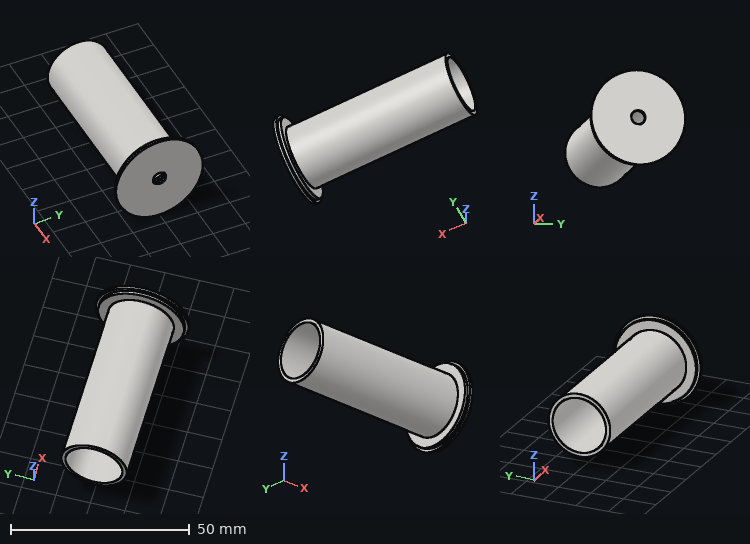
import cadquery as cq

total_length = 52.5
flange_thickness = 1.0
step_thickness = 1.0
throat_length = 1.0
outlet_length = 1.0

tube_diameter = 19.05
step_diameter = 25.0
flange_diameter = 27.0

bore_diameter = 16.5
throat_diameter = 15.0
outlet_diameter = 4.0

flange_start = total_length - flange_thickness
step_start = flange_start - step_thickness

bore_taper_length = (bore_diameter - throat_diameter) / 2
cone_length = (throat_diameter - outlet_diameter) / 2
outlet_start = total_length - outlet_length
cone_start = outlet_start - cone_length
throat_start = cone_start - throat_length
bore_end = throat_start - bore_taper_length


def cylinder(diameter, start, end):
    """Cylinder around the X axis between two X positions."""
    return cq.Workplane("YZ", origin=(start, 0, 0)).circle(diameter / 2).extrude(end - start)


def funnel_cavity():
    """Bore, short throat, cone and narrow outlet, revolved around X."""
    profile = (
        cq.Workplane("XY")
        .lineTo(0, bore_diameter / 2)
        .lineTo(bore_end, bore_diameter / 2)
        .lineTo(throat_start, throat_diameter / 2)
        .lineTo(cone_start, throat_diameter / 2)
        .lineTo(outlet_start, outlet_diameter / 2)
        .lineTo(total_length, outlet_diameter / 2)
        .lineTo(total_length, 0)
        .close()
    )
    return profile.revolve(360, (0, 0, 0), (1, 0, 0))


tube = cylinder(tube_diameter, 0, total_length)
step = cylinder(step_diameter, step_start, flange_start)
flange = cylinder(flange_diameter, flange_start, total_length)

result = tube.union(step).union(flange).cut(funnel_cavity())